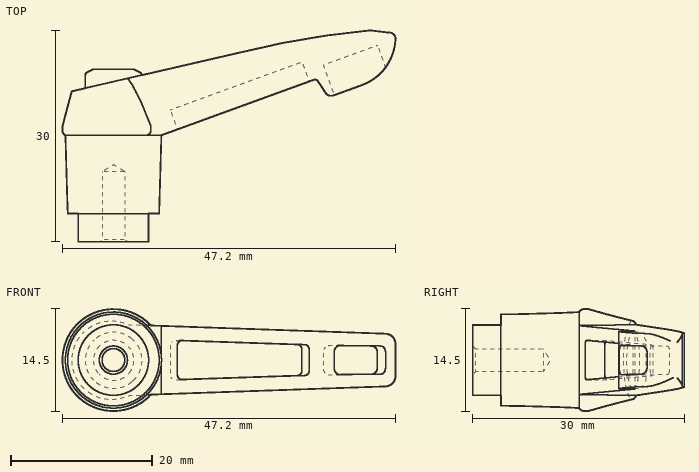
import cadquery as cq
import math

foot_radius = 5.0
foot_height = 4.0
sleeve_bottom_radius = 6.5
sleeve_top_radius = 6.82
sleeve_top = 15.1
collar_radius = 7.245
collar_round_top = 15.8
collar_top = 16.4
cone_half_angle = math.radians(15)
cone_height = 8.5

button_radius = 4.0
button_top = 24.5
button_face_radius = 2.85
button_edge_radius = 3.75
button_edge = 24.05
button_shoulder = 23.65

hole_diameter = 3.24
hole_mouth_diameter = 4.0
hole_depth = 10.0
drill_point_half_angle = math.radians(59)

arm_end_x = 40.0
arm_top_y = 30.0
top_slope = math.radians(13)
top_start = (-7.0, 21.1)
top_straight_end_x = 18.0
top_bow_point = (27.5, 28.85)
top_peak_x = 36.4
underside_slope = math.radians(20)
underside_start_x = 6.8
notch_x = 28.77
grip_lip = (30.48, 20.48)
grip_bend_x = 35.2
tip_nose_y = 28.75
tip_crown = (38.95, 29.68)
notch_radius = 0.5
lip_radius = 0.95

arm_axis_half_width = 5.1
arm_width_taper = math.radians(2)
tip_corner_radius = 1.5

arm_pocket_start_x = 9.07
arm_pocket_end_x = 27.75
arm_pocket_start_half_width = 2.8
arm_pocket_end_half_width = 2.17
arm_pocket_depth = 3.0
arm_pocket_corner_radius = 0.7
grip_pocket_start_x = 31.3
grip_pocket_end_x = 38.99
grip_pocket_start_half_width = 2.08
grip_pocket_end_half_width = 1.98
grip_pocket_depth = 4.6
grip_pocket_corner_radius = 0.9
pocket_lead = 1.0


def underside_y(x):
    return sleeve_top + (x - underside_start_x) * math.tan(underside_slope)


def grip_y(x):
    return grip_lip[1] + (x - grip_lip[0]) * math.tan(underside_slope)


def top_y(x):
    return top_start[1] + (x - top_start[0]) * math.tan(top_slope)


def arm_half_width(x):
    return arm_axis_half_width - x * math.tan(arm_width_taper)


def revolve_about_y(outline):
    return outline.close().revolve(360, (0, 0, 0), (0, 1, 0))


def make_hub():
    cone_top_radius = collar_radius - cone_height * math.tan(cone_half_angle)
    outline = (
        cq.Workplane("XY")
        .moveTo(0, collar_top + cone_height)
        .lineTo(cone_top_radius, collar_top + cone_height)
        .lineTo(collar_radius, collar_top)
        .lineTo(collar_radius, collar_round_top)
        .tangentArcPoint((sleeve_top_radius, sleeve_top), relative=False)
        .lineTo(sleeve_bottom_radius, foot_height)
        .lineTo(foot_radius, foot_height)
        .lineTo(foot_radius, 0)
        .lineTo(0, 0)
    )
    hub = revolve_about_y(outline)
    reach = 2 * collar_radius
    above_top = (
        cq.Workplane("XY")
        .moveTo(-reach, top_y(-reach))
        .lineTo(reach, top_y(reach))
        .lineTo(reach, 2 * arm_top_y)
        .lineTo(-reach, 2 * arm_top_y)
        .close()
        .extrude(reach, both=True)
    )
    return hub.cut(above_top)


def make_button():
    outline = (
        cq.Workplane("XY")
        .moveTo(0, sleeve_top)
        .lineTo(button_radius, sleeve_top)
        .lineTo(button_radius, button_shoulder)
        .tangentArcPoint((button_edge_radius, button_edge), relative=False)
        .lineTo(button_face_radius, button_top)
        .lineTo(0, button_top)
    )
    return revolve_about_y(outline)


def make_arm():
    side = (
        cq.Workplane("XY")
        .moveTo(0, sleeve_top)
        .lineTo(underside_start_x, sleeve_top)
        .lineTo(notch_x, underside_y(notch_x))
        .lineTo(*grip_lip)
        .lineTo(grip_bend_x, grip_y(grip_bend_x))
        .tangentArcPoint((arm_end_x, tip_nose_y), relative=False)
        .tangentArcPoint(tip_crown, relative=False)
        .lineTo(top_peak_x, arm_top_y)
        .threePointArc(top_bow_point, (top_straight_end_x, top_y(top_straight_end_x)))
        .lineTo(0, top_y(0))
        .close()
        .extrude(arm_axis_half_width, both=True)
    )
    notch_corner = (notch_x, underside_y(notch_x), 0)
    lip_corner = (*grip_lip, 0)
    side = side.edges(cq.selectors.NearestToPointSelector(notch_corner)).fillet(notch_radius)
    side = side.edges(cq.selectors.NearestToPointSelector(lip_corner)).fillet(lip_radius)
    root = arm_half_width(0)
    end = arm_half_width(arm_end_x)
    plan = (
        cq.Workplane("XZ")
        .polyline([(0, -root), (arm_end_x, -end), (arm_end_x, end), (0, root)])
        .close()
        .extrude(-2 * arm_top_y)
        .edges("|Y and >X")
        .fillet(tip_corner_radius)
    )
    return side.intersect(plan)


def make_pocket(start, end_x, half_widths, depth, corner_radius):
    start_half_width, end_half_width = half_widths
    length = (end_x - start[0]) / math.cos(underside_slope)
    inward = (-math.sin(underside_slope), math.cos(underside_slope), 0)
    along = (math.cos(underside_slope), math.sin(underside_slope), 0)
    mouth = cq.Plane(origin=(*start, 0), xDir=along, normal=inward)
    return (
        cq.Workplane(mouth)
        .workplane(offset=-pocket_lead)
        .polyline([
            (0, -start_half_width),
            (length, -end_half_width),
            (length, end_half_width),
            (0, start_half_width),
        ])
        .close()
        .extrude(pocket_lead + depth)
        .edges(cq.selectors.ParallelDirSelector(cq.Vector(*inward)))
        .fillet(corner_radius)
    )


def make_arm_pocket():
    return make_pocket(
        (arm_pocket_start_x, underside_y(arm_pocket_start_x)),
        arm_pocket_end_x,
        (arm_pocket_start_half_width, arm_pocket_end_half_width),
        arm_pocket_depth,
        arm_pocket_corner_radius,
    )


def make_grip_pocket():
    return make_pocket(
        (grip_pocket_start_x, grip_y(grip_pocket_start_x)),
        grip_pocket_end_x,
        (grip_pocket_start_half_width, grip_pocket_end_half_width),
        grip_pocket_depth,
        grip_pocket_corner_radius,
    )


def make_hole():
    radius = hole_diameter / 2
    mouth_radius = hole_mouth_diameter / 2
    outline = (
        cq.Workplane("XY")
        .lineTo(mouth_radius, 0)
        .lineTo(radius, mouth_radius - radius)
        .lineTo(radius, hole_depth)
        .lineTo(0, hole_depth + radius / math.tan(drill_point_half_angle))
    )
    return revolve_about_y(outline)


arm = make_arm().cut(make_arm_pocket()).cut(make_grip_pocket())
result = make_hub().union(arm).union(make_button()).cut(make_hole())